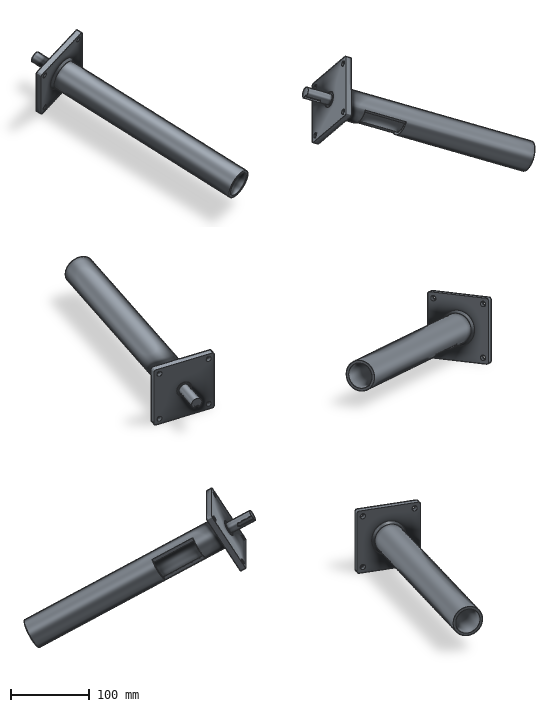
import cadquery as cq

total_length = 325.0

plate_size = 86.0
plate_thickness = 7.8
plate_corner_radius = 3.2
hole_diameter = 6.8
hole_spacing = 70.2

tube_diameter = 40.0
tube_wall = 3.5
weld_leg = 3.2
window_start = 78.5
window_length = 59.8
window_top = -11.5

shaft_end_diameter = 14.5
shaft_end_length = 34.8
journal_diameter = 20.0
bore_chamfer = 0.5
keyway_width = 5.2
keyway_depth = 3.0
keyway_length = 21.8

plate_front = shaft_end_length
plate_back = plate_front + plate_thickness
tube_radius = tube_diameter / 2
tube_bore_diameter = tube_diameter - 2 * tube_wall
shaft_end_radius = shaft_end_diameter / 2
journal_radius = journal_diameter / 2


def rod(diameter, start, end):
    """Cylinder along the X axis between two X positions."""
    return cq.Workplane("YZ", origin=(start, 0, 0)).circle(diameter / 2).extrude(end - start)


def taper(start, end_radius, leg):
    """45 degree cone along the X axis that narrows to end_radius over a length of leg."""
    return (
        cq.Workplane("XY")
        .moveTo(start, 0)
        .lineTo(start, end_radius + leg)
        .lineTo(start + leg, end_radius)
        .lineTo(start + leg, 0)
        .close()
        .revolve(360, (0, 0, 0), (1, 0, 0))
    )


def make_plate():
    """Square plate with rounded corners and a mounting hole near each corner."""
    return (
        cq.Workplane("YZ", origin=(plate_front, 0, 0))
        .rect(plate_size, plate_size)
        .extrude(plate_thickness)
        .edges("|X")
        .fillet(plate_corner_radius)
        .faces(">X")
        .workplane()
        .rect(hole_spacing, hole_spacing, forConstruction=True)
        .vertices()
        .hole(hole_diameter)
    )


def make_window():
    """Block that opens the underside of the tube, from its lowest line up to window_top."""
    window_height = tube_radius + window_top
    return (
        cq.Workplane("XY", origin=(window_start, 0, -tube_radius))
        .box(window_length, tube_diameter, window_height, centered=(False, True, False))
    )


def make_housing():
    """Plate, weld bead and tube in one piece, with the shaft bore through the plate."""
    tube = rod(tube_diameter, plate_back, total_length)
    weld = taper(plate_back, tube_radius, weld_leg)
    tube_bore = rod(tube_bore_diameter, plate_back, total_length)
    shaft_bore = rod(journal_diameter, plate_front, plate_back)
    bore_edge = taper(plate_front, journal_radius, bore_chamfer)
    outside = make_plate().union(weld).union(tube)
    return outside.cut(tube_bore).cut(shaft_bore).cut(bore_edge).cut(make_window())


def make_keyway():
    """Keyway in the underside of the shaft, open at the tip and round at its inner end."""
    half_width = keyway_width / 2
    straight_length = keyway_length - half_width
    return (
        cq.Workplane("XY", origin=(0, 0, -shaft_end_radius))
        .moveTo(0, -half_width)
        .lineTo(straight_length, -half_width)
        .threePointArc((keyway_length, 0), (straight_length, half_width))
        .lineTo(0, half_width)
        .close()
        .extrude(keyway_depth)
    )


def make_shaft():
    """Stepped shaft whose journal fills the plate bore, flush with both plate faces."""
    shaft_end = rod(shaft_end_diameter, 0, plate_front)
    journal = rod(journal_diameter, plate_front, plate_back)
    return shaft_end.union(journal).cut(make_keyway())


housing = make_housing()
shaft = make_shaft()

result = cq.Compound.makeCompound([housing.val(), shaft.val()])